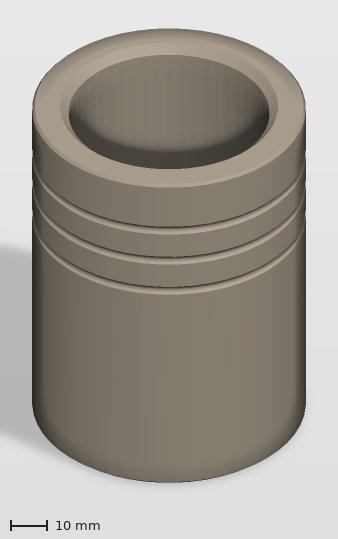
import cadquery as cq

length = 100.0
outer_diameter = 74.3
bore_diameter = 54.6

top_break_width = 0.7
top_break_height = 0.8
bottom_break_width = 1.4
bottom_break_height = 1.2
bore_lead_in_width = 2.3
bore_lead_in_height = 2.3

groove_count = 3
first_groove_drop = 15.1
groove_pitch = 10.0
groove_width = 2.6
groove_root_width = 0.4
groove_depth = 1.2

outer_radius = outer_diameter / 2
bore_radius = bore_diameter / 2


def groove_points(center_z):
    """Upper edge, flat root and lower edge of one V-groove."""
    return [
        (outer_radius, center_z + groove_width / 2),
        (outer_radius - groove_depth, center_z + groove_root_width / 2),
        (outer_radius - groove_depth, center_z - groove_root_width / 2),
        (outer_radius, center_z - groove_width / 2),
    ]


section = [
    (bore_radius, length - bore_lead_in_height),
    (bore_radius + bore_lead_in_width, length),
    (outer_radius - top_break_width, length),
    (outer_radius, length - top_break_height),
]
for index in range(groove_count):
    section += groove_points(length - first_groove_drop - index * groove_pitch)
section += [
    (outer_radius, bottom_break_height),
    (outer_radius - bottom_break_width, 0),
    (bore_radius, 0),
]

result = cq.Workplane("XZ").polyline(section).close().revolve(360, (0, 0, 0), (0, 1, 0))